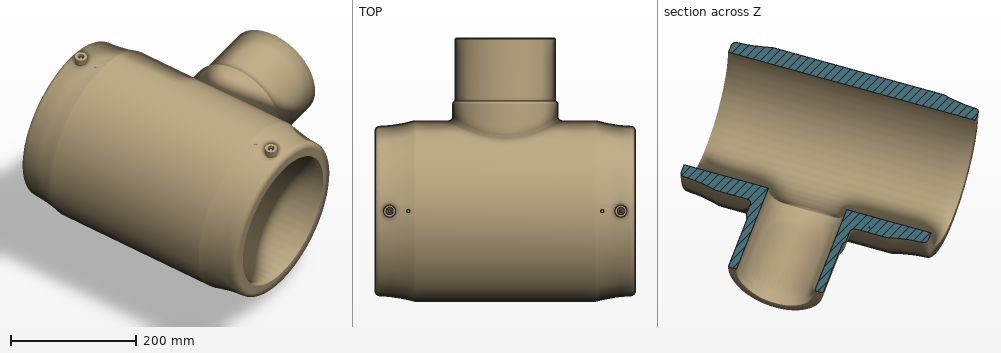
import cadquery as cq
import math

RUN_LENGTH = 415.0
RUN_RADIUS = 288.0 / 2
RUN_BORE_RADIUS = 225.0 / 2
STRAIGHT_LENGTH = 288.0
MOUTH_RADIUS = 135.0
MOUTH_ROUNDING = 8.0

BRANCH_END = 276.0
SPIGOT_RADIUS = 160.0 / 2
SPIGOT_LENGTH = 100.0
SPIGOT_EDGE_CHAMFER = 2.0
BRANCH_BORE_RADIUS = 130.8 / 2
COLLAR_RADIUS = 168.0 / 2
COLLAR_ROUNDING = 6.0
COLLAR_END = BRANCH_END - SPIGOT_LENGTH
BRANCH_ROOT_FILLET = 6.5

TERMINAL_X = 184.3
TERMINAL_TOP = 148.5
TERMINAL_RADIUS = 19.0 / 2
SOCKET_RADIUS = 11.5 / 2
SOCKET_DEPTH = 12.0
CONTACT_RADIUS = 4.0 / 2
CONTACT_LENGTH = 8.0

INDICATOR_X = 154.5
INDICATOR_RADIUS = 5.0 / 2
INDICATOR_HEIGHT = 1.5

CLEARANCE = 1.0

PIN_ROOT_Z = (RUN_BORE_RADIUS + MOUTH_RADIUS) / 2

half_length = RUN_LENGTH / 2
half_straight = STRAIGHT_LENGTH / 2
flare_length = half_length - half_straight
flare_rise = RUN_RADIUS - MOUTH_RADIUS
flare_arc_radius = (flare_length**2 + flare_rise**2) / (2 * flare_rise)


def flare_radius_at(x):
    """Outer radius of the run on the flared stretch at distance x from the middle."""
    from_mouth = half_length - x
    return MOUTH_RADIUS + flare_arc_radius - math.sqrt(flare_arc_radius**2 - from_mouth**2)


def cylinder_z(x, radius, bottom, top):
    """Upright cylinder at distance x along the run, between two heights."""
    return cq.Workplane("XY", origin=(x, 0, bottom)).circle(radius).extrude(top - bottom)


def cylinder_y(radius, end):
    """Cylinder along +Y from the run axis to the given end."""
    return cq.Workplane("XZ").circle(radius).extrude(-end)


def make_run():
    flare_middle = (half_length + half_straight) / 2
    middle_radius = flare_radius_at(flare_middle)
    profile = (
        cq.Workplane("XY")
        .moveTo(-half_length, 0)
        .lineTo(-half_length, MOUTH_RADIUS)
        .threePointArc((-flare_middle, middle_radius), (-half_straight, RUN_RADIUS))
        .lineTo(half_straight, RUN_RADIUS)
        .threePointArc((flare_middle, middle_radius), (half_length, MOUTH_RADIUS))
        .lineTo(half_length, 0)
        .close()
    )
    run = profile.revolve(360, (0, 0, 0), (1, 0, 0))
    return run.faces("<X or >X").edges().fillet(MOUTH_ROUNDING)


def add_branch(run):
    collar = cylinder_y(COLLAR_RADIUS, COLLAR_END)
    body = run.union(collar)
    reach = COLLAR_RADIUS + CLEARANCE
    root_zone = cq.selectors.BoxSelector(
        (-reach, CLEARANCE, -reach),
        (reach, RUN_RADIUS + CLEARANCE, reach),
        boundingbox=True,
    )
    body = body.edges(root_zone).fillet(BRANCH_ROOT_FILLET)
    body = body.faces(">Y").edges().fillet(COLLAR_ROUNDING)
    spigot = cylinder_y(SPIGOT_RADIUS, BRANCH_END).faces(">Y").chamfer(SPIGOT_EDGE_CHAMFER)
    return body.union(spigot)


def cut_bores(body):
    run_start = cq.Workplane("YZ", origin=(-half_length, 0, 0))
    run_bore = run_start.circle(RUN_BORE_RADIUS).extrude(RUN_LENGTH)
    branch_bore = cylinder_y(BRANCH_BORE_RADIUS, BRANCH_END)
    return body.cut(run_bore).cut(branch_bore)


def add_terminal(body, x):
    socket_floor = TERMINAL_TOP - SOCKET_DEPTH
    barrel = cylinder_z(x, TERMINAL_RADIUS, PIN_ROOT_Z, TERMINAL_TOP)
    socket = cylinder_z(x, SOCKET_RADIUS, socket_floor, TERMINAL_TOP)
    contact = cylinder_z(x, CONTACT_RADIUS, PIN_ROOT_Z, socket_floor + CONTACT_LENGTH)
    return body.union(barrel).cut(socket).union(contact)


def add_indicator(body, x):
    top = flare_radius_at(INDICATOR_X) + INDICATOR_HEIGHT
    return body.union(cylinder_z(x, INDICATOR_RADIUS, PIN_ROOT_Z, top))


tee = cut_bores(add_branch(make_run()))
for side in (-1, 1):
    tee = add_terminal(tee, side * TERMINAL_X)
    tee = add_indicator(tee, side * INDICATOR_X)

result = tee